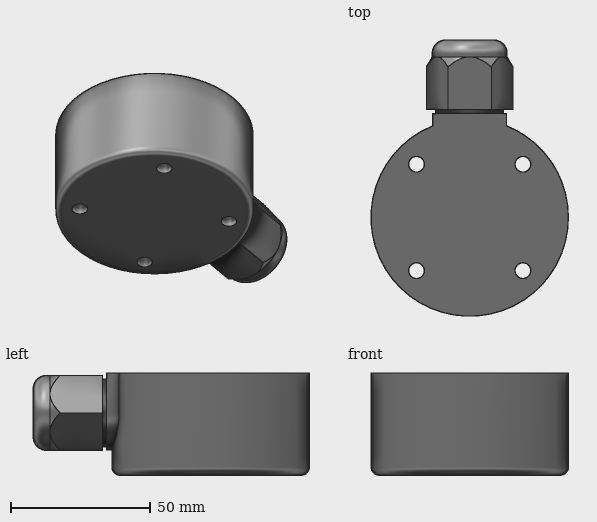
import cadquery as cq
import math

body_diameter = 71.0
body_height = 36.8
bottom_fillet = 3.0
hole_diameter = 5.6
hole_spacing = 38.2

gland_drop = 14.4
boss_width = 26.6
boss_end = 37.3
neck_diameter = 24.4
neck_length = 1.5
hex_across_flats = 27.0
lower_hex_length = 6.3
nut_length = 12.6
dome_length = 4.9
nut_chamfer_angle = 30

total_length = 99.25
gland_end = total_length - body_diameter / 2
hex_start = boss_end + neck_length
nut_start = hex_start + lower_hex_length
nut_end = nut_start + nut_length
hex_across_corners = hex_across_flats / math.cos(math.radians(30))
nut_chamfer_width = (hex_across_corners - hex_across_flats) / 2
nut_chamfer_length = nut_chamfer_width / math.tan(math.radians(nut_chamfer_angle))


def gland_plane(station):
    """Plane facing +Y on the gland axis, with its local Y along Z."""
    return cq.Workplane(cq.Plane((0, station, -gland_drop), (-1, 0, 0), (0, 1, 0)))


def make_body():
    body = cq.Workplane("XY").circle(body_diameter / 2).extrude(-body_height)
    return body.faces("<Z").edges().fillet(bottom_fillet)


def make_boss():
    """Boss with straight sides up to the top face and a half-round underside."""
    radius = boss_width / 2
    return (
        gland_plane(0)
        .moveTo(-radius, gland_drop)
        .lineTo(-radius, 0)
        .threePointArc((0, -radius), (radius, 0))
        .lineTo(radius, gland_drop)
        .close()
        .extrude(boss_end)
    )


def make_nut():
    """Hexagonal nut whose outer corners are turned down by a cone."""
    nut = gland_plane(nut_start).polygon(6, hex_across_corners).extrude(nut_length)
    turned_blank = (
        gland_plane(nut_start)
        .circle(hex_across_corners / 2)
        .extrude(nut_length)
        .faces(">Y")
        .chamfer(nut_chamfer_length, nut_chamfer_width)
    )
    return nut.intersect(turned_blank)


def make_gland():
    neck = gland_plane(boss_end).circle(neck_diameter / 2).extrude(neck_length)
    lower_hex = gland_plane(hex_start).polygon(6, hex_across_corners).extrude(lower_hex_length)
    dome = (
        gland_plane(nut_end)
        .circle(hex_across_flats / 2)
        .extrude(gland_end - nut_end)
        .faces(">Y")
        .edges()
        .fillet(dome_length)
    )
    return neck.union(lower_hex).union(make_nut(), clean=False).union(dome, clean=False)


def make_holes():
    return (
        cq.Workplane("XY")
        .rect(hole_spacing, hole_spacing, forConstruction=True)
        .vertices()
        .circle(hole_diameter / 2)
        .extrude(-body_height)
    )


housing = make_body().union(make_boss()).cut(make_holes())
result = housing.union(make_gland(), clean=False)